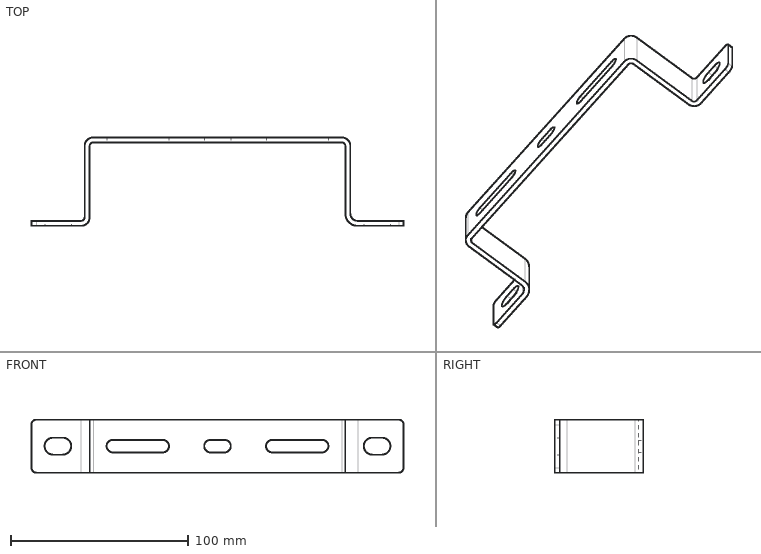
import cadquery as cq

length = 210.0
depth = 50.0
strip_width = 30.0
thickness = 3.0
back_length = 150.0

bend_radius = 2.0
right_foot_bend_radius = 4.0
foot_corner_radius = 3.0

foot_slot_length = 15.0
foot_slot_width = 9.5
back_slot_width = 7.0
long_slot_length = 35.0
center_slot_length = 15.0
long_slot_offset = 45.0

half_length = length / 2
half_back = back_length / 2
front_y = -depth / 2
back_y = depth / 2
foot_length = half_length - half_back
foot_slot_offset = half_length - foot_length / 2


def round_bend(body, x_inner, y_inner, x_outer, y_outer, inner_radius):
    """Round the concave and convex vertical edges of one bend."""
    reach = thickness / 10
    for x, y, radius in (
        (x_inner, y_inner, inner_radius),
        (x_outer, y_outer, inner_radius + thickness),
    ):
        edge = cq.selectors.BoxSelector(
            (x - reach, y - reach, -strip_width),
            (x + reach, y + reach, strip_width),
        )
        body = body.edges("|Z").edges(edge).fillet(radius)
    return body


def bent_strip():
    """Hat-shaped strip with two feet, two legs and a back."""
    leg_inside = half_back - thickness
    foot_back_y = front_y + thickness
    back_front_y = back_y - thickness
    body = (
        cq.Workplane("XY")
        .polyline([
            (-half_length, front_y),
            (-leg_inside, front_y),
            (-leg_inside, back_front_y),
            (leg_inside, back_front_y),
            (leg_inside, front_y),
            (half_length, front_y),
            (half_length, foot_back_y),
            (half_back, foot_back_y),
            (half_back, back_y),
            (-half_back, back_y),
            (-half_back, foot_back_y),
            (-half_length, foot_back_y),
        ])
        .close()
        .extrude(strip_width / 2, both=True)
    )
    for side, foot_radius in ((-1, bend_radius), (1, right_foot_bend_radius)):
        inside_x = side * leg_inside
        outside_x = side * half_back
        body = round_bend(body, inside_x, back_front_y, outside_x, back_y, bend_radius)
        body = round_bend(body, outside_x, foot_back_y, inside_x, front_y, foot_radius)
    return body


def slot_cutter(x_centers, slot_length, slot_width):
    """Round-ended slots along X, cut through the full depth in Y."""
    return (
        cq.Workplane("XZ")
        .pushPoints([(x, 0) for x in x_centers])
        .slot2D(slot_length, slot_width)
        .extrude(depth, both=True)
    )


result = bent_strip()

result = result.faces("<X or >X").edges("|Y").fillet(foot_corner_radius)

result = result.cut(
    slot_cutter([-foot_slot_offset, foot_slot_offset], foot_slot_length, foot_slot_width)
)

result = result.cut(
    slot_cutter([-long_slot_offset, long_slot_offset], long_slot_length, back_slot_width)
)
result = result.cut(slot_cutter([0], center_slot_length, back_slot_width))